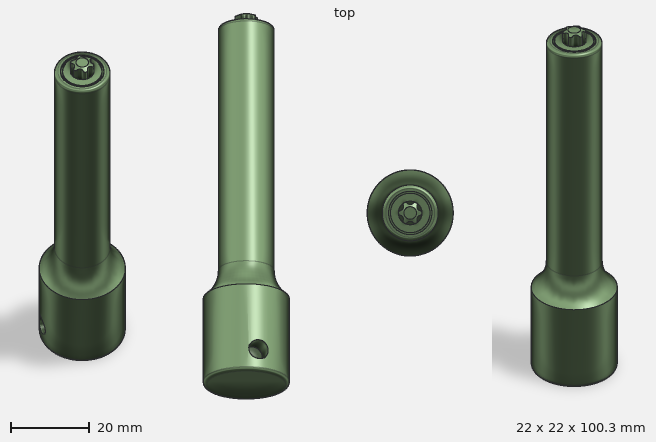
import cadquery as cq
import math

total_length = 100.3
socket_diameter = 22.0
stem_diameter = 14.2
housing_top = 97.1
shoulder_height = 23.4
flare_top = 31.1
end_fillet = 0.9

star_diameter = 6.0
lobe_tip_radius = 0.6
lobe_flank_radius = 1.0
star_top_radius = 1.6
star_cone_drop = 0.6
star_root_depth = 2.0
bit_bore_depth = 20.1

ring_inner_diameter = 10.0
ring_outer_diameter = 11.0
ring_thickness = 0.5
ring_recess = 0.5

pin_diameter = 5.1
pin_height = 5.8
pin_recess = 5.0
pin_dome_radius = 8.0
pin_hole_depth = 9.0

lobe_count = 6
socket_radius = socket_diameter / 2
stem_radius = stem_diameter / 2
star_radius = star_diameter / 2
pin_radius = pin_diameter / 2
star_root = housing_top - star_root_depth
groove_depth = ring_recess + ring_thickness


def cylinder(diameter, bottom, top):
    """Upright cylinder on the Z axis."""
    return cq.Workplane("XY", origin=(0, 0, bottom)).circle(diameter / 2).extrude(top - bottom)


def tube(bottom, top):
    """Upright annulus with the ring's inner and outer diameters."""
    return cylinder(ring_outer_diameter, bottom, top).cut(cylinder(ring_inner_diameter, bottom, top))


def polar(radius, angle):
    return radius * math.cos(angle), radius * math.sin(angle)


def make_blank():
    """Turned outside shape: socket, concave flare tangent to the stem, and stem."""
    flare_height = flare_top - shoulder_height
    flare_width = socket_radius - stem_radius
    flare_radius = (flare_height**2 + flare_width**2) / (2 * flare_width)
    half_sweep = math.asin(flare_height / flare_radius) / 2
    flare_middle = (
        stem_radius + flare_radius * (1 - math.cos(half_sweep)),
        flare_top - flare_radius * math.sin(half_sweep),
    )
    profile = (
        cq.Workplane("XZ")
        .lineTo(socket_radius, 0)
        .lineTo(socket_radius, shoulder_height)
        .threePointArc(flare_middle, (stem_radius, flare_top))
        .lineTo(stem_radius, housing_top)
        .lineTo(0, housing_top)
        .close()
    )
    blank = profile.revolve(360, (0, 0), (0, 1))
    return blank.faces("<Z or >Z").edges().fillet(end_fillet)


def star_outline(height):
    """Rounded lobes joined by tangent concave flanks, with one lobe on +X."""
    pitch = 2 * math.pi / lobe_count
    half_pitch = pitch / 2
    tip_centre = star_radius - lobe_tip_radius
    centre_distance = lobe_tip_radius + lobe_flank_radius
    half_chord = tip_centre * math.sin(half_pitch)
    flank_centre = tip_centre * math.cos(half_pitch) + math.sqrt(centre_distance**2 - half_chord**2)
    valley_radius = flank_centre - lobe_flank_radius

    flank_x, flank_y = polar(flank_centre, half_pitch)
    join_fraction = lobe_tip_radius / centre_distance
    join_x = tip_centre + join_fraction * (flank_x - tip_centre)
    join_y = join_fraction * flank_y
    join_radius = math.hypot(join_x, join_y)
    join_angle = math.atan2(join_y, join_x)

    outline = cq.Workplane("XY", origin=(0, 0, height)).moveTo(*polar(join_radius, -join_angle))
    for lobe in range(lobe_count):
        angle = lobe * pitch
        lobe_end = polar(join_radius, angle + join_angle)
        next_lobe_start = polar(join_radius, angle + pitch - join_angle)
        outline = outline.threePointArc(polar(star_radius, angle), lobe_end)
        outline = outline.threePointArc(polar(valley_radius, angle + half_pitch), next_lobe_start)
    return outline.close()


def make_bit():
    """Star tip with a conical end, on a round shank that fills the bore."""
    star = star_outline(star_root).extrude(total_length - star_root)
    envelope = (
        cq.Workplane("XZ")
        .moveTo(0, star_root)
        .lineTo(star_radius, star_root)
        .lineTo(star_radius, total_length - star_cone_drop)
        .lineTo(star_top_radius, total_length)
        .lineTo(0, total_length)
        .close()
        .revolve(360, (0, 0), (0, 1))
    )
    shank = cylinder(star_diameter, housing_top - bit_bore_depth, star_root)
    return star.intersect(envelope).union(shank)


def make_ring():
    return tube(housing_top - groove_depth, housing_top - ring_recess)


def make_pin():
    """Short pin along Y whose outer end is a shallow dome."""
    inner_end = pin_hole_depth - socket_radius
    dome_tip = pin_recess - socket_radius
    dome_rise = pin_dome_radius - math.sqrt(pin_dome_radius**2 - pin_radius**2)
    dome_rim = dome_tip + dome_rise
    dome_middle = (pin_radius / 2, dome_tip + pin_dome_radius
                   - math.sqrt(pin_dome_radius**2 - (pin_radius / 2) ** 2))
    profile = (
        cq.Workplane("XY", origin=(0, 0, pin_height))
        .moveTo(0, inner_end)
        .lineTo(pin_radius, inner_end)
        .lineTo(pin_radius, dome_rim)
        .threePointArc(dome_middle, (0, dome_tip))
        .close()
    )
    return profile.revolve(360, (0, 0), (0, 1))


def make_housing():
    """Turned blank with the bit bore, the ring groove and the pin hole."""
    bit_bore = cylinder(star_diameter, housing_top - bit_bore_depth, housing_top)
    ring_groove = tube(housing_top - groove_depth, housing_top)
    pin_hole = (
        cq.Workplane("XZ", origin=(0, pin_hole_depth - socket_radius, pin_height))
        .circle(pin_radius)
        .extrude(pin_hole_depth)
    )
    return make_blank().cut(bit_bore).cut(ring_groove).cut(pin_hole)


housing = make_housing()
bit = make_bit()
ring = make_ring()
pin = make_pin()

result = cq.Compound.makeCompound([housing.val(), bit.val(), ring.val(), pin.val()])